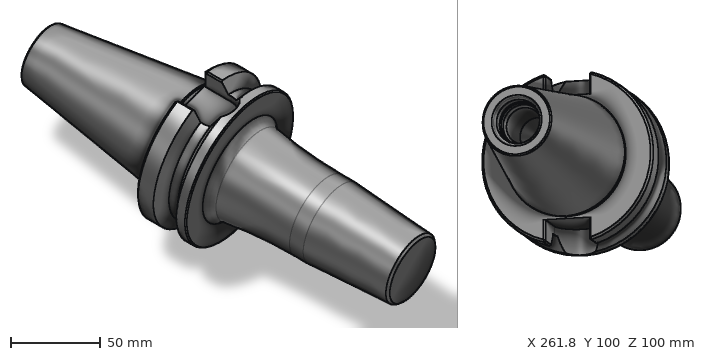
import cadquery as cq
import math

total_length = 261.8
taper_length = 101.0
flange_start = 104.7
flange_length = 35.0
flange_end = flange_start + flange_length
fillet_end = 145.8
neck_end = 194.8
nose_start = 204.5

taper_large_radius = 34.8
taper_slope = 7 / 24 / 2
taper_small_radius = taper_large_radius - taper_length * taper_slope
relief_radius = 34.3
relief_step = 0.8
flange_radius = 50.0
neck_root_radius = 34.5
neck_large_radius = 30.4
neck_small_radius = 26.5
nose_rim_radius = 22.8
nose_face_radius = 21.2

taper_chamfer = 0.8
flange_chamfer = 1.3
rim_chamfer = 0.8
nose_chamfer_length = 1.5

groove_start = 116.8
groove_end = 133.0
groove_floor_radius = 42.1
groove_side_length = 5.0

slot_half_width = 12.8
slot_end = 136.5
slot_floor_height = 35.3
slot_chamfer = 1.0

root_bow = 0.8

mouth_radius = 14.7
mouth_chamfer = 0.8
center_cone_radius = mouth_radius - mouth_chamfer
pilot_radius = 12.5
pilot_start = 3.0
pilot_end = 9.0
seat_radius = 11.8
seat_end = 13.5
thread_radius = 10.5
thread_start = 16.0
thread_end = 44.5
drill_point_angle = 118


def make_body():
    """Turned outer shape, revolved about the X axis."""
    flare_length = neck_end - fillet_end
    flare_rise = neck_large_radius - neck_small_radius
    flare_arc_radius = (flare_length**2 + flare_rise**2) / (2 * flare_rise)
    flare_mid_offset = flare_length / 2
    flare_mid_rise = flare_arc_radius - math.sqrt(flare_arc_radius**2 - flare_mid_offset**2)

    root_mid_x = (flange_end + fillet_end) / 2
    root_mid_radius = (neck_root_radius + neck_large_radius) / 2

    profile = (
        cq.Workplane("XY")
        .moveTo(0, 0)
        .lineTo(0, taper_small_radius - taper_chamfer)
        .lineTo(taper_chamfer, taper_small_radius + taper_chamfer * taper_slope)
        .lineTo(taper_length, taper_large_radius)
        .lineTo(taper_length + relief_step, relief_radius)
        .lineTo(flange_start, relief_radius)
        .lineTo(flange_start, flange_radius - flange_chamfer)
        .lineTo(flange_start + flange_chamfer, flange_radius)
        .lineTo(groove_start, flange_radius)
        .lineTo(groove_start + groove_side_length, groove_floor_radius)
        .lineTo(groove_end - groove_side_length, groove_floor_radius)
        .lineTo(groove_end, flange_radius)
        .lineTo(flange_end - rim_chamfer, flange_radius)
        .lineTo(flange_end, flange_radius - rim_chamfer)
        .lineTo(flange_end, neck_root_radius)
        .threePointArc((root_mid_x, root_mid_radius - root_bow), (fillet_end, neck_large_radius))
        .threePointArc(
            (neck_end - flare_mid_offset, neck_small_radius + flare_mid_rise),
            (neck_end, neck_small_radius),
        )
        .lineTo(nose_start, neck_small_radius)
        .lineTo(total_length - nose_chamfer_length, nose_rim_radius)
        .lineTo(total_length, nose_face_radius)
        .lineTo(total_length, 0)
        .close()
    )
    return profile.revolve(360, (0, 0, 0), (1, 0, 0))


def make_hole():
    """Stepped hole with a conical drill point, on the X axis."""
    point_length = thread_radius / math.tan(math.radians(drill_point_angle / 2))
    pilot_step = pilot_radius - seat_radius
    profile = (
        cq.Workplane("XY")
        .moveTo(0, 0)
        .lineTo(0, mouth_radius)
        .lineTo(mouth_chamfer, center_cone_radius)
        .lineTo(pilot_start, pilot_radius)
        .lineTo(pilot_end, pilot_radius)
        .lineTo(pilot_end + pilot_step, seat_radius)
        .lineTo(seat_end, seat_radius)
        .lineTo(thread_start, thread_radius)
        .lineTo(thread_end, thread_radius)
        .lineTo(thread_end + point_length, 0)
        .close()
    )
    return profile.revolve(360, (0, 0, 0), (1, 0, 0))


def make_slot():
    """Round-ended drive slot on the +Z side."""
    arc_center = slot_end - slot_half_width
    slot_height = flange_radius - slot_floor_height
    outline = (
        cq.Workplane("XY", origin=(0, 0, slot_floor_height))
        .moveTo(flange_start, -slot_half_width)
        .lineTo(arc_center, -slot_half_width)
        .threePointArc((slot_end, 0), (arc_center, slot_half_width))
        .lineTo(flange_start, slot_half_width)
        .close()
    )
    return outline.extrude(slot_height)


def is_slot_wall_edge(edge):
    """True for slot wall edges on the flange face, its chamfer and the land ahead of the groove."""
    tolerance = 0.03
    center = edge.Center()
    on_wall = abs(abs(center.y) - slot_half_width) < tolerance
    above_floor = abs(center.z) > slot_floor_height + tolerance
    return on_wall and above_floor and center.x < groove_start


slot = make_slot()
body = make_body().cut(make_hole()).cut(slot).cut(slot.mirror("XY"))
wall_edges = body.edges().filter(is_slot_wall_edge)
result = wall_edges.chamfer(slot_chamfer)